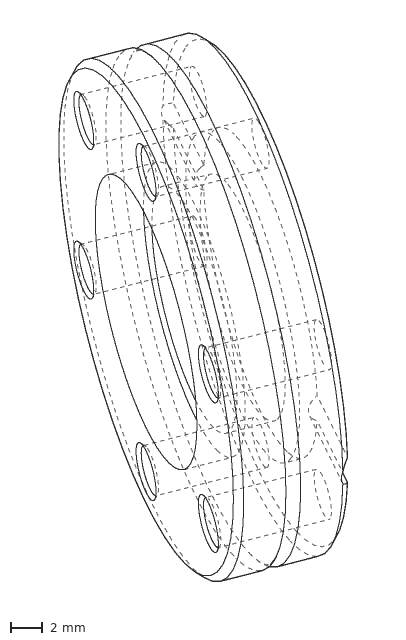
import cadquery as cq

flange_diameter = 33.8
thickness = 7.6
rim_chamfer = 0.5

bore_diameter = 16.0
front_recess_diameter = 19.1
front_recess_depth = 3.2
back_recess_diameter = 21.4
back_recess_depth = 1.18

bolt_count = 6
bolt_circle_diameter = 27.0
bolt_hole_diameter = 3.25
bolt_hole_chamfer = 0.255

rim_groove_width = 0.98
rim_groove_depth = 0.27

leak_groove_width = 2.25
leak_groove_depth = 0.6

flange_radius = flange_diameter / 2
front_y = -thickness / 2
back_y = thickness / 2


def arc_radius(chord, rise):
    """Radius of the arc that spans a chord with a given rise."""
    return (chord**2 / 4 + rise**2) / (2 * rise)


def cylinder_along_y(diameter, start_y, length):
    """Solid cylinder on the Y axis, running from start_y toward +Y."""
    plane = cq.Plane(origin=(0, start_y, 0), xDir=(1, 0, 0), normal=(0, 1, 0))
    return cq.Workplane(plane).circle(diameter / 2).extrude(length)


def make_body():
    """Disc with both rims chamfered."""
    disc = cylinder_along_y(flange_diameter, front_y, thickness)
    return disc.faces("<Y or >Y").edges().chamfer(rim_chamfer)


def make_bore():
    """Through bore with a wider round recess at each face."""
    bore = cylinder_along_y(bore_diameter, front_y, thickness)
    front_recess = cylinder_along_y(front_recess_diameter, front_y, front_recess_depth)
    back_recess = cylinder_along_y(back_recess_diameter, back_y - back_recess_depth, back_recess_depth)
    return bore.union(front_recess).union(back_recess)


def make_bolt_holes():
    """Ring of through holes, countersunk at the front, with one hole at the top."""
    hole_radius = bolt_hole_diameter / 2
    hole_profile = (
        cq.Workplane("XY")
        .moveTo(0, front_y)
        .lineTo(hole_radius + bolt_hole_chamfer, front_y)
        .lineTo(hole_radius, front_y + bolt_hole_chamfer)
        .lineTo(hole_radius, back_y)
        .lineTo(0, back_y)
        .close()
    )
    top_hole = hole_profile.revolve(360, (0, 0, 0), (0, 1, 0)).translate((0, 0, bolt_circle_diameter / 2))
    holes = cq.Workplane("XY")
    for index in range(bolt_count):
        holes = holes.add(top_hole.rotate((0, 0, 0), (0, 1, 0), index * 360 / bolt_count))
    return holes.combine()


def make_rim_groove():
    """Ring of round section that cuts a shallow groove around the middle of the rim."""
    section_radius = arc_radius(rim_groove_width, rim_groove_depth)
    section_center_x = flange_radius - rim_groove_depth + section_radius
    section = cq.Workplane("XY").center(section_center_x, 0).circle(section_radius)
    return section.revolve(360, (-section_center_x, 0, 0), (-section_center_x, 1, 0))


def make_leak_groove():
    """Round bar that cuts a groove straight across the back face along X."""
    bar_radius = arc_radius(leak_groove_width, leak_groove_depth)
    bar_center_y = back_y - leak_groove_depth + bar_radius
    bar = cq.Workplane("YZ").center(bar_center_y, 0).circle(bar_radius)
    return bar.extrude(flange_radius, both=True)


result = (
    make_body()
    .cut(make_bore())
    .cut(make_bolt_holes())
    .cut(make_rim_groove())
    .cut(make_leak_groove())
)